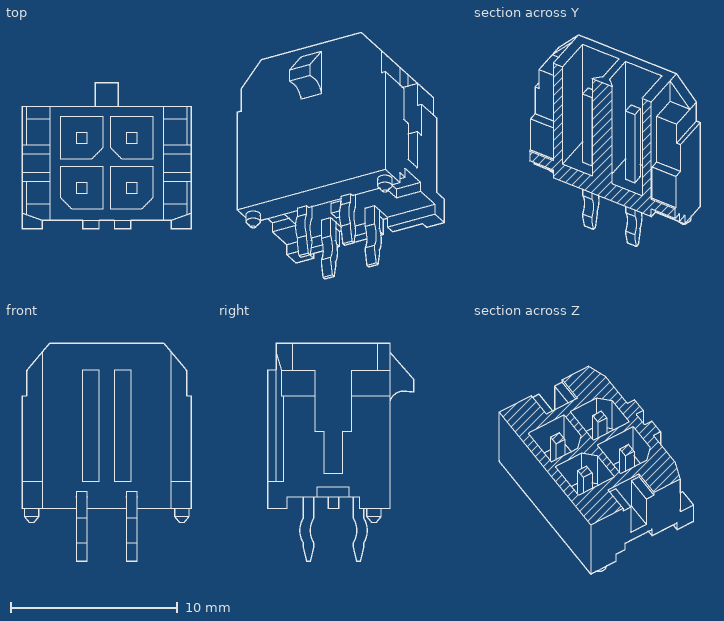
import cadquery as cq


width = 10.15
overall_height = 13.09
height = 9.92
back_y = 3.39
front_y = -3.44
middle_y = (back_y + front_y) / 2

core_half_width = 3.42
shoulder_half_width = 4.8
shoulder_z = 6.75
cheek_top_z = 8.27
cheek_slope_back_y = 2.63
cheek_slope_front_y = -2.46

facet_half_width = 3.86
facet_side_y = -3.01
foot_front_y = -3.95
foot_height = 1.62

wide_slot_width = 2.19
wide_slot_z = 4.61
narrow_slot_width = 1.11
narrow_slot_z = 2.11

rib_width = 1.0
rib_centre_x = 0.95
rib_top_z = 8.31

pitch = 3.0
pin_size = 0.64
cavity_size = 2.54
cavity_chamfer = 0.68
cavity_floor_z = 2.11
pin_top_z = 7.59

bow_depth = 0.21
bow_top_z = -0.58
bow_bottom_z = -2.05
taper_z = -2.32
leg_tip_z = height - overall_height
tip_width = 0.24

recess_back_y = 1.57
recess_front_y = -2.78
recess_height = 0.68
side_notch_width = 1.92
side_notch_height = 1.3
leg_slot_height = 1.03

post_diameter = 0.86
post_tip_diameter = 0.26
post_x = 4.5
post_y = 2.42
post_straight = 0.48
post_length = 0.85

latch_width = 1.4
latch_tip_y = 4.82
latch_top_z = 9.36
latch_tip_top_z = 7.74
latch_tip_bottom_z = 6.98
latch_arc_start = (4.24, 7.03)
latch_arc_middle = (3.7, 6.87)
latch_arc_end_z = 6.44

half_width = width / 2
sides = (-1, 1)


def block(x_range, y_range, z_range):
    """Box between two limits on each axis."""
    (x0, x1), (y0, y1), (z0, z1) = sorted(x_range), sorted(y_range), sorted(z_range)
    return cq.Workplane("XY").box(x1 - x0, y1 - y0, z1 - z0, centered=False).translate((x0, y0, z0))


def around(centre, size):
    """Limits of a span of the given size about its centre."""
    return (centre - size / 2, centre + size / 2)


def housing_shell():
    """Housing with faceted front corners, trimmed to its stepped and sloped front profile."""
    plan = (
        cq.Workplane("XY")
        .moveTo(half_width, back_y)
        .lineTo(half_width, facet_side_y)
        .lineTo(facet_half_width, front_y)
        .lineTo(0, front_y)
        .lineTo(0, back_y)
        .close()
        .extrude(height)
    )
    profile = (
        cq.Workplane("XZ", origin=(0, back_y, 0))
        .lineTo(half_width, 0)
        .lineTo(half_width, shoulder_z)
        .lineTo(shoulder_half_width, shoulder_z)
        .lineTo(shoulder_half_width, cheek_top_z)
        .lineTo(core_half_width, height)
        .lineTo(0, height)
        .close()
        .extrude(back_y - front_y)
    )
    half = plan.intersect(profile)
    return half.union(half.mirror("YZ"))


def cheek_cuts(side):
    """Open top between the sloped ends of a cheek, its T-slot and the notch at its foot."""
    depth = (side * core_half_width, side * half_width)
    cuts = block(depth, (cheek_slope_front_y, cheek_slope_back_y), (cheek_top_z, height))
    cuts = cuts.union(block(depth, around(middle_y, wide_slot_width), (wide_slot_z, height)))
    cuts = cuts.union(block(depth, around(middle_y, narrow_slot_width), (narrow_slot_z, height)))
    return cuts.union(block(depth, around(middle_y, side_notch_width), (0, side_notch_height)))


def foot(side):
    """Foot that fills out a front corner below its facet."""
    x_range = (side * facet_half_width, side * half_width)
    return block(x_range, (foot_front_y, facet_side_y), (0, foot_height))


def rib(side):
    """Upright rib on the front wall."""
    x_range = around(side * rib_centre_x, rib_width)
    return block(x_range, (foot_front_y, front_y), (foot_height, rib_top_z))


def latch():
    """Hook on the back wall with a hollowed underside."""
    return (
        cq.Workplane("YZ", origin=(-latch_width / 2, 0, 0))
        .moveTo(back_y, latch_top_z)
        .lineTo(latch_tip_y, latch_tip_top_z)
        .lineTo(latch_tip_y, latch_tip_bottom_z)
        .lineTo(*latch_arc_start)
        .threePointArc(latch_arc_middle, (back_y, latch_arc_end_z))
        .lineTo(0, latch_arc_end_z)
        .lineTo(0, latch_top_z)
        .close()
        .extrude(latch_width)
    )


def cavity(column, row):
    """Square cavity with one front corner bevelled: the inner one in the back row, the outer in front."""
    x, y = column * pitch / 2, row * pitch / 2
    x_range = around(x, cavity_size)
    y_range = around(y, cavity_size)
    pocket = block(x_range, y_range, (cavity_floor_z, height))
    bevelled_side = ">X" if column * row < 0 else "<X"
    return pocket.faces(bevelled_side).edges("<Y").chamfer(cavity_chamfer)


def pin(column, row):
    """Square contact pin with its bowed, tapered solder leg."""
    half = pin_size / 2
    half_tip = tip_width / 2
    bow_middle_z = (bow_top_z + bow_bottom_z) / 2
    x, y = column * pitch / 2, row * pitch / 2
    contact = (
        cq.Workplane("YZ")
        .moveTo(half, pin_top_z)
        .lineTo(half, bow_top_z)
        .threePointArc((half + bow_depth, bow_middle_z), (half, bow_bottom_z))
        .lineTo(half, taper_z)
        .lineTo(half_tip, leg_tip_z)
        .lineTo(-half_tip, leg_tip_z)
        .lineTo(-half, taper_z)
        .lineTo(-half, bow_bottom_z)
        .threePointArc((-half + bow_depth, bow_middle_z), (-half, bow_top_z))
        .lineTo(-half, pin_top_z)
        .close()
        .extrude(half, both=True)
    )
    if row < 0:
        contact = contact.mirror("XZ")
    return contact.translate((x, y, 0))


def leg_slot(column):
    """Slot under the front wall, running back to the front solder leg."""
    leg_front_y = -pitch / 2 - pin_size / 2
    return block(around(column * pitch / 2, pin_size), (front_y, leg_front_y), (0, leg_slot_height))


def post(side):
    """Round locating post with a conical tip."""
    return (
        cq.Workplane("XZ")
        .lineTo(post_diameter / 2, 0)
        .lineTo(post_diameter / 2, -post_straight)
        .lineTo(post_tip_diameter / 2, -post_length)
        .lineTo(0, -post_length)
        .close()
        .revolve(360, (0, 0, 0), (0, 1, 0))
        .translate((side * post_x, post_y, 0))
    )


body = housing_shell()
for side in sides:
    body = body.cut(cheek_cuts(side)).union(foot(side)).union(rib(side))
body = body.union(latch())

body = body.cut(block((-half_width, half_width), (recess_front_y, recess_back_y), (0, recess_height)))
body = body.union(block(around(0, pin_size), around(0, pin_size), (0, recess_height)))

for side in sides:
    body = body.cut(leg_slot(side)).union(post(side))

for column in sides:
    for row in sides:
        body = body.cut(cavity(column, row)).union(pin(column, row))

result = body